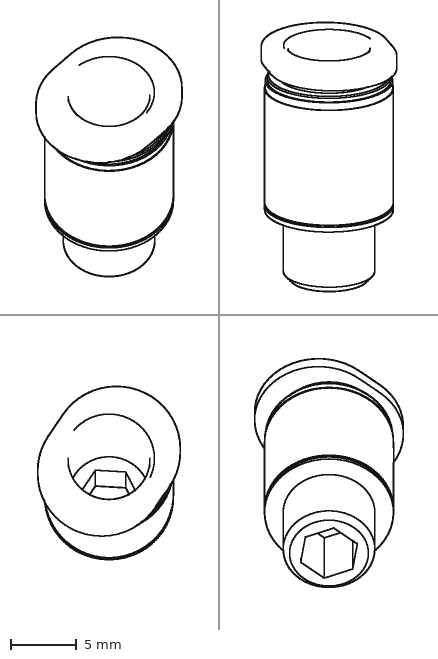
import cadquery as cq

total_height = 18.91

stem_radius = 3.5
stem_tip_radius = 3.0
stem_chamfer_height = 0.55
stem_top = 5.56

barrel_radius = 4.92
groove_radius = 4.86
groove_bottom = 5.94
groove_top = 6.09
barrel_top = 15.45

step_radius = 4.86
step_top = 16.05
collar_radius = 4.7
collar_top = 16.47
collar_chamfer = 0.11

neck_radius = 3.9
flare_bottom = 17.02
flare_radius = 4.12
flange_bottom = 17.4
flange_width = 9.75
flange_length = 11.8
flange_rim = 18.66
flange_edge_round = 0.23
crown_radius = 3.46

bore_radius = 3.12
bore_floor = stem_top
bore_entry_round = crown_radius - bore_radius
hex_across_flats = 4.0
hex_across_corners = hex_across_flats * 2 / 3 ** 0.5


def make_body():
    """Revolve the stem, barrel, collar and neck as one stepped profile."""
    profile = (
        cq.Workplane("XZ")
        .lineTo(stem_tip_radius, 0)
        .lineTo(stem_radius, stem_chamfer_height)
        .lineTo(stem_radius, stem_top)
        .lineTo(barrel_radius, stem_top)
        .lineTo(barrel_radius, groove_bottom)
        .lineTo(groove_radius, groove_bottom)
        .lineTo(groove_radius, groove_top)
        .lineTo(barrel_radius, groove_top)
        .lineTo(barrel_radius, barrel_top)
        .lineTo(step_radius, barrel_top)
        .lineTo(step_radius, step_top)
        .lineTo(collar_radius, step_top)
        .lineTo(collar_radius, collar_top - collar_chamfer)
        .lineTo(collar_radius - collar_chamfer, collar_top)
        .lineTo(neck_radius, collar_top)
        .lineTo(neck_radius, flare_bottom)
        .tangentArcPoint((flare_radius, flange_bottom), relative=False)
        .lineTo(0, flange_bottom)
        .close()
    )
    return profile.revolve(360, (0, 0, 0), (0, 1, 0))


def make_flange():
    """Oval flange, long along Y, with a rounded top edge."""
    return (
        cq.Workplane("XY", origin=(0, 0, flange_bottom))
        .slot2D(flange_length, flange_width, 90)
        .extrude(flange_rim - flange_bottom)
        .faces(">Z")
        .edges()
        .fillet(flange_edge_round)
    )


def make_crown():
    """Shallow slope from the flange rim up to a circle around the bore."""
    return (
        cq.Workplane("XY", origin=(0, 0, flange_rim))
        .slot2D(flange_length - 2 * flange_edge_round, flange_width - 2 * flange_edge_round, 90)
        .workplane(offset=total_height - flange_rim)
        .circle(crown_radius)
        .loft(ruled=True)
    )


def make_bore():
    """Flat-bottomed tube bore with a rounded entry."""
    round_bottom = total_height - bore_entry_round
    arc_middle = bore_entry_round * (1 - 0.5 ** 0.5)
    profile = (
        cq.Workplane("XZ")
        .moveTo(0, bore_floor)
        .lineTo(bore_radius, bore_floor)
        .lineTo(bore_radius, round_bottom)
        .threePointArc((bore_radius + arc_middle, total_height - arc_middle), (crown_radius, total_height))
        .lineTo(0, total_height)
        .close()
    )
    return profile.revolve(360, (0, 0, 0), (0, 1, 0))


def make_hex_socket():
    """Through hexagon with two corners on the Y axis."""
    return (
        cq.Workplane("XY")
        .transformed(rotate=(0, 0, 90))
        .polygon(6, hex_across_corners)
        .extrude(total_height)
    )


solid = make_body().union(make_flange()).union(make_crown())
result = solid.cut(make_bore()).cut(make_hex_socket())